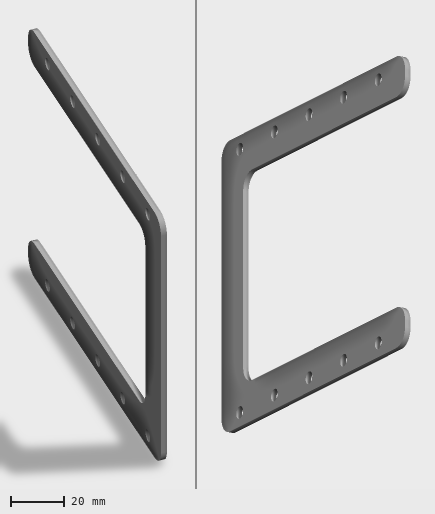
import cadquery as cq

length = 134.51
height = 114.3
thickness = 2.38

band_width = 15.875
corner_radius = 6.35

hole_diameter = 4.85
hole_count = 5
hole_pitch = 25.4
last_hole_from_web_edge = 13.3
hole_from_outer_edge = 5.55


def plate_blank():
    """U-shaped plate, open towards -X, with every corner rounded."""
    block = cq.Workplane("XY").box(length, thickness, height)
    opening = (
        cq.Workplane("XY")
        .box(length, thickness, height - 2 * band_width)
        .translate((-band_width, 0, 0))
    )
    return block.cut(opening).edges("|Y").fillet(corner_radius)


def hole_centres():
    """X, Z centres of the holes, mirrored between the two arms."""
    last_x = length / 2 - last_hole_from_web_edge
    row_z = height / 2 - hole_from_outer_edge
    return [
        (last_x - i * hole_pitch, z)
        for z in (-row_z, row_z)
        for i in range(hole_count)
    ]


def hole_cutters():
    """Pins that run through the full plate thickness."""
    return (
        cq.Workplane("XZ")
        .pushPoints(hole_centres())
        .circle(hole_diameter / 2)
        .extrude(thickness, both=True)
    )


result = plate_blank().cut(hole_cutters())